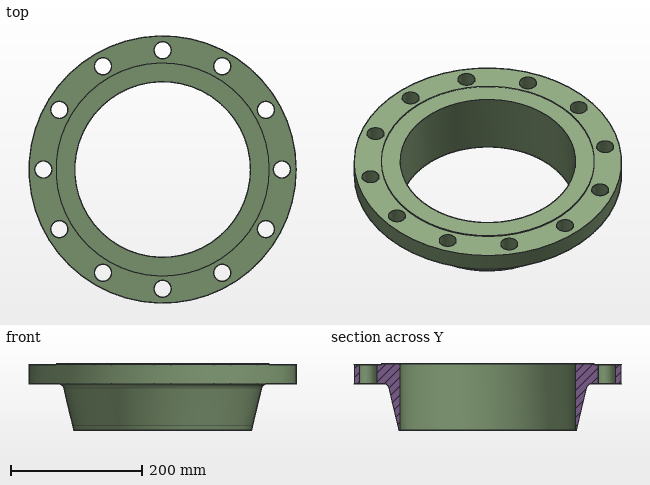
import cadquery as cq

flange_diameter = 406.5
total_height = 101.5
bore_diameter = 266.5

flange_thickness = 29.3
raised_face_diameter = 324.0
raised_face_height = 1.5

weld_end_diameter = 270.5
neck_bottom_diameter = 274.0
weld_end_height = 7.7
neck_top_diameter = 304.0
neck_fillet_radius = 8.0

bolt_count = 12
bolt_circle_diameter = 362.5
bolt_hole_diameter = 25.5

flange_top = total_height - raised_face_height
flange_bottom = flange_top - flange_thickness


def make_body():
    """Revolve the solid outer profile about Z, standing on the welding end."""
    profile = (
        cq.Workplane("XZ")
        .moveTo(0, 0)
        .lineTo(weld_end_diameter / 2, 0)
        .lineTo(neck_bottom_diameter / 2, weld_end_height)
        .lineTo(neck_top_diameter / 2, flange_bottom)
        .lineTo(flange_diameter / 2, flange_bottom)
        .lineTo(flange_diameter / 2, flange_top)
        .lineTo(raised_face_diameter / 2, flange_top)
        .lineTo(raised_face_diameter / 2, total_height)
        .lineTo(0, total_height)
        .close()
    )
    return profile.revolve(360, (0, 0, 0), (0, 1, 0))


def round_neck_root(body):
    """Fillet the inside corner where the neck meets the flange."""
    underside_edges = body.faces("|Z").faces(">Z[1]").edges("%CIRCLE")
    neck_root = cq.selectors.RadiusNthSelector(0)
    return underside_edges.edges(neck_root).fillet(neck_fillet_radius)


def make_bore():
    return cq.Workplane("XY").circle(bore_diameter / 2).extrude(total_height)


def make_bolt_holes():
    """Evenly spaced through holes, the first one on the +X axis."""
    return (
        cq.Workplane("XY")
        .polarArray(bolt_circle_diameter / 2, 0, 360, bolt_count)
        .circle(bolt_hole_diameter / 2)
        .extrude(total_height)
    )


body = round_neck_root(make_body())
result = body.cut(make_bore()).cut(make_bolt_holes())